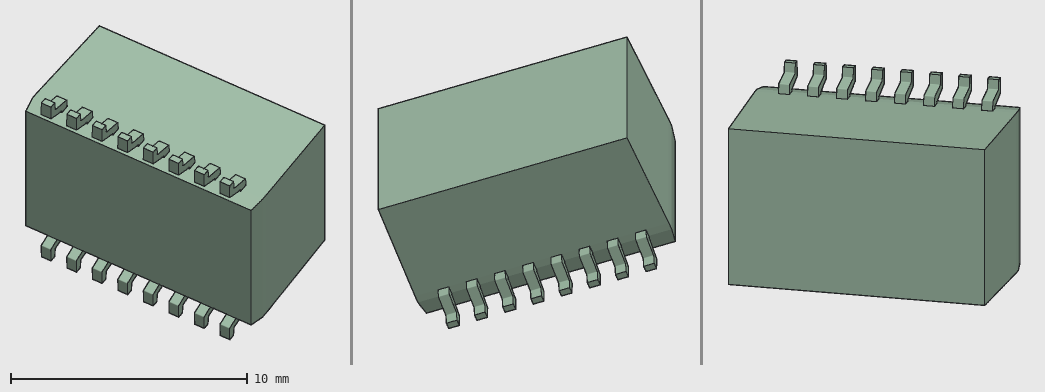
import cadquery as cq

body_length = 11.45
body_height = 7.13
front_inset_x = 0.11
front_inset_z = 0.1
back_inset_x = 0.11
back_inset_z = 0.09

front_face_y = 0.25
band_front_y = 0.98
band_back_y = 1.34
back_face_y = 6.2

lead_count = 8
lead_pitch = 1.27
lead_width = 0.48
overall_height = 9.3
lead_reach = (overall_height - body_height) / 2
lead_embed = 0.17
root_front_y = 0.9
foot_thickness = 0.31
front_lean = 0.02
back_lean = 0.05
toe_bend_rise = 0.39
heel_bend_rise = 0.63
shoulder_rise = 0.42
root_bend_rise = 0.08
bend_radius = 0.05


def frustum(start_y, end_y, start_size, end_size):
    """Loft along Y between two centred rectangles given as (X length, Z height)."""
    return (
        cq.Workplane("XZ", origin=(0, start_y, 0))
        .rect(*start_size)
        .workplane(offset=start_y - end_y)
        .rect(*end_size)
        .loft(ruled=True)
    )


def make_body():
    band_size = (body_length, body_height)
    front_size = (body_length - 2 * front_inset_x, body_height - 2 * front_inset_z)
    back_size = (body_length - 2 * back_inset_x, body_height - 2 * back_inset_z)
    front = frustum(front_face_y, band_front_y, front_size, band_size)
    band = frustum(band_front_y, band_back_y, band_size, band_size)
    back = frustum(band_back_y, back_face_y, band_size, back_size)
    return front.union(band).union(back)


def make_lead():
    """Upper lead centred on X = 0: a root, a sloping arm and a foot."""
    base_z = body_height / 2
    profile = [
        (root_front_y, base_z - lead_embed),
        (root_front_y, base_z + root_bend_rise),
        (0, base_z + toe_bend_rise),
        (front_lean, base_z + lead_reach),
        (front_lean + foot_thickness, base_z + lead_reach),
        (front_lean + foot_thickness + back_lean, base_z + heel_bend_rise),
        (band_back_y - back_lean, base_z + shoulder_rise),
        (band_back_y, base_z),
        (band_back_y, base_z - lead_embed),
    ]
    lead = cq.Workplane("YZ").polyline(profile).close().extrude(lead_width / 2, both=True)
    above_root_bend = base_z + (root_bend_rise + toe_bend_rise) / 2
    below_tip = base_z + (heel_bend_rise + lead_reach) / 2
    rounded_bends = cq.selectors.BoxSelector(
        (-lead_width, -lead_width, above_root_bend),
        (lead_width, back_face_y, below_tip),
    )
    return lead.edges("|X").edges(rounded_bends).fillet(bend_radius)


result = make_body()
upper_lead = make_lead()
lower_lead = upper_lead.mirror("XY")
for index in range(lead_count):
    lead_x = (index - (lead_count - 1) / 2) * lead_pitch
    for lead in (upper_lead, lower_lead):
        result = result.union(lead.translate((lead_x, 0, 0)))